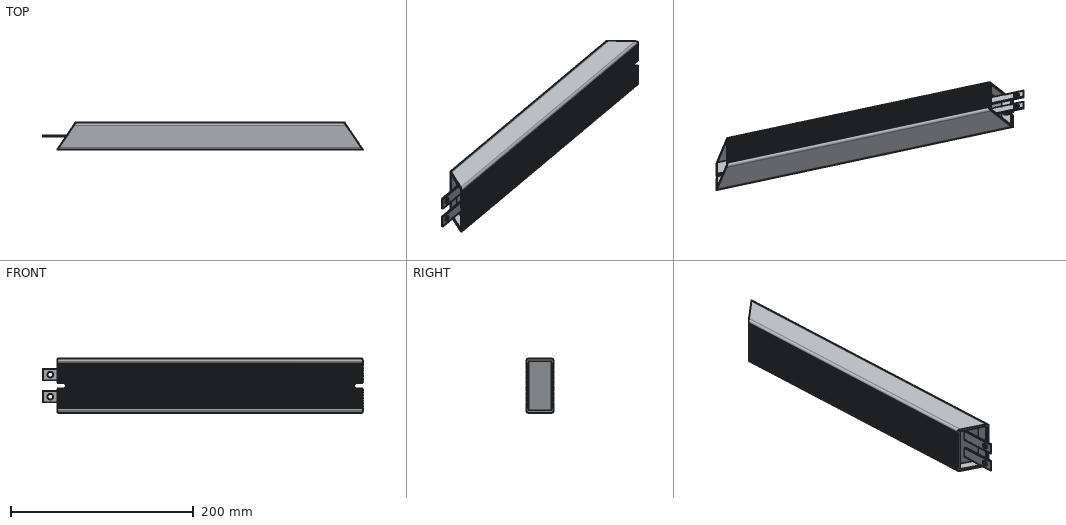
import cadquery as cq

TOTAL_LENGTH = 350.5
HOUSING_DEPTH = 30.0
HOUSING_HEIGHT = 60.0
TERMINAL_REACH = 15.5
END_INSET = 20.5

CORNER_RADIUS = 3.0
WALL = 3.0
RIDGE_COUNT = 16
RIDGE_ROW_HEIGHT = 48.0
RIDGE_PITCH = RIDGE_ROW_HEIGHT / RIDGE_COUNT
RIDGE_WIDTH = RIDGE_PITCH / 2
RIDGE_HEIGHT = 1.0

RECESS_DEPTH = 10.5
SLOT_WIDTH = 5.5
SLOT_LENGTH = 9.8

TERMINAL_WIDTH = 12.5
TERMINAL_THICKNESS = 1.5
TERMINAL_OFFSET_Y = 0.5
TERMINAL_SPACING = 24.2
TERMINAL_HOLE_DIAMETER = 6.0
TERMINAL_HOLE_INSET = 8.0

TIP_X = -TOTAL_LENGTH / 2
HOUSING_LEFT = TIP_X + TERMINAL_REACH
HOUSING_RIGHT = TOTAL_LENGTH / 2
HOUSING_LENGTH = HOUSING_RIGHT - HOUSING_LEFT
FRONT_Y = -HOUSING_DEPTH / 2
BACK_Y = HOUSING_DEPTH / 2


def bar(depth, height):
    """Square-ended bar along X, as long as the housing."""
    return cq.Workplane("YZ", origin=(HOUSING_LEFT, 0, 0)).rect(depth, height).extrude(HOUSING_LENGTH)


def slanted_block(shortening):
    """Block as tall as the housing with slanted ends, each moved inward by the shortening."""
    left = HOUSING_LEFT + shortening
    right = HOUSING_RIGHT - shortening
    return (
        cq.Workplane("XY")
        .moveTo(left, FRONT_Y)
        .lineTo(right, FRONT_Y)
        .lineTo(right - END_INSET, BACK_Y)
        .lineTo(left + END_INSET, BACK_Y)
        .close()
        .extrude(HOUSING_HEIGHT / 2, both=True)
    )


def front_groove_cutter():
    """Everything to remove from the front wall to leave a row of round-topped ridges."""
    half_width = RIDGE_WIDTH / 2
    root_y = FRONT_Y + RIDGE_HEIGHT
    shoulder_y = FRONT_Y + half_width
    outside_y = FRONT_Y - RIDGE_HEIGHT
    last_ridge_z = (RIDGE_COUNT - 1) / 2 * RIDGE_PITCH
    groove_end_z = last_ridge_z + RIDGE_PITCH - half_width
    outline = (
        cq.Workplane("YZ", origin=(HOUSING_LEFT, 0, 0))
        .moveTo(outside_y, -groove_end_z)
        .lineTo(root_y, -groove_end_z)
    )
    for index in range(RIDGE_COUNT):
        ridge_z = index * RIDGE_PITCH - last_ridge_z
        outline = (
            outline.lineTo(root_y, ridge_z - half_width)
            .lineTo(shoulder_y, ridge_z - half_width)
            .threePointArc((FRONT_Y, ridge_z), (shoulder_y, ridge_z + half_width))
            .lineTo(root_y, ridge_z + half_width)
        )
    outline = outline.lineTo(root_y, groove_end_z).lineTo(outside_y, groove_end_z).close()
    return outline.extrude(HOUSING_LENGTH)


def end_slots():
    """Round-bottomed slots through the front wall, open at the two housing ends."""
    return (
        cq.Workplane("XZ", origin=(0, FRONT_Y + WALL, 0))
        .pushPoints([(HOUSING_LEFT, 0), (HOUSING_RIGHT, 0)])
        .slot2D(2 * SLOT_LENGTH, SLOT_WIDTH)
        .extrude(WALL)
    )


def make_housing():
    """Ribbed bar with slanted, recessed ends and a slot in the front wall at each end."""
    profile = bar(HOUSING_DEPTH, HOUSING_HEIGHT).edges("|X").fillet(CORNER_RADIUS)
    front_grooves = front_groove_cutter()
    profile = profile.cut(front_grooves).cut(front_grooves.mirror("XZ"))
    recesses = bar(HOUSING_DEPTH - 2 * WALL, HOUSING_HEIGHT - 2 * WALL).cut(slanted_block(RECESS_DEPTH))
    return profile.intersect(slanted_block(0)).cut(recesses).cut(end_slots())


def make_terminal(center_z):
    """Flat blade with a hole near its tip, seated against the slanted floor of the recess."""
    strip = (
        cq.Workplane("YZ", origin=(TIP_X, TERMINAL_OFFSET_Y, center_z))
        .rect(TERMINAL_THICKNESS, TERMINAL_WIDTH)
        .extrude(HOUSING_LENGTH / 2)
    )
    hole = (
        cq.Workplane("XZ", origin=(TIP_X + TERMINAL_HOLE_INSET, 0, center_z))
        .circle(TERMINAL_HOLE_DIAMETER / 2)
        .extrude(HOUSING_DEPTH / 2, both=True)
    )
    return strip.cut(slanted_block(RECESS_DEPTH)).cut(hole)


housing = make_housing()
terminals = [make_terminal(side * TERMINAL_SPACING / 2) for side in (-1, 1)]

result = cq.Compound.makeCompound([housing.val(), *[terminal.val() for terminal in terminals]])